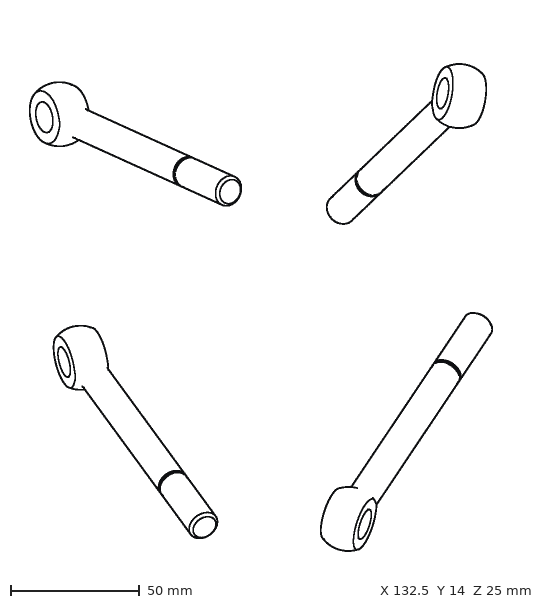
import cadquery as cq
import math

overall_length = 132.5
eye_diameter = 25.0
eye_width = 14.0
bore_diameter = 12.0
shank_diameter = 12.0
neck_fillet_radius = 6.0
threaded_length = 30.0
groove_width = 0.9
groove_depth = 0.4
tip_chamfer = 1.2

eye_radius = eye_diameter / 2
shank_radius = shank_diameter / 2
groove_radius = shank_radius - groove_depth
tip_x = overall_length - eye_radius
groove_end_x = tip_x - threaded_length
groove_start_x = groove_end_x - groove_width

arc_centre_distance = eye_radius + neck_fillet_radius
arc_centre_z = shank_radius + neck_fillet_radius
neck_end_x = math.sqrt(arc_centre_distance**2 - arc_centre_z**2)
tangent_ratio = eye_radius / arc_centre_distance
neck_start = (neck_end_x * tangent_ratio, arc_centre_z * tangent_ratio)

start_angle = math.atan2(-arc_centre_z, -neck_end_x)
middle_angle = (start_angle - math.pi / 2) / 2
neck_middle = (
    neck_end_x + neck_fillet_radius * math.cos(middle_angle),
    arc_centre_z + neck_fillet_radius * math.sin(middle_angle),
)


def make_turned_body():
    """Revolve the ball, neck, shank, groove and chamfered tip about X."""
    profile = (
        cq.Workplane("XZ")
        .moveTo(-eye_radius, 0)
        .threePointArc((0, eye_radius), neck_start)
        .threePointArc(neck_middle, (neck_end_x, shank_radius))
        .lineTo(groove_start_x, shank_radius)
        .lineTo(groove_start_x, groove_radius)
        .lineTo(groove_end_x, groove_radius)
        .lineTo(groove_end_x, shank_radius)
        .lineTo(tip_x - tip_chamfer, shank_radius)
        .lineTo(tip_x, shank_radius - tip_chamfer)
        .lineTo(tip_x, 0)
        .close()
    )
    return profile.revolve(360, (0, 0, 0), (1, 0, 0))


def make_width_envelope():
    """Slab that trims the ball to flat faces at the eye width."""
    return cq.Workplane("XY").box(2 * overall_length, eye_width, eye_diameter)


def make_bore():
    """Through hole across the eye, along Y."""
    return cq.Workplane("XZ").circle(bore_diameter / 2).extrude(eye_width, both=True)


result = make_turned_body().intersect(make_width_envelope()).cut(make_bore())